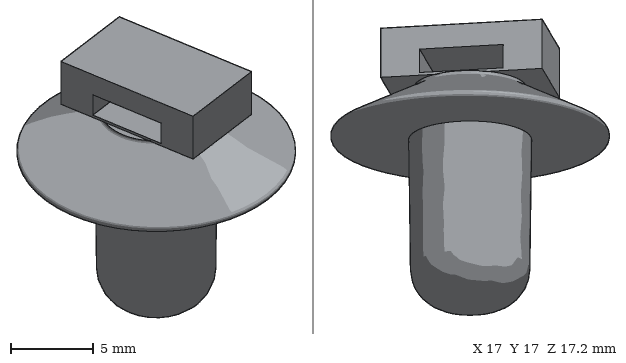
import cadquery as cq
import math

total_height = 17.22
flange_diameter = 17.0
rim_radius = 0.25
cone_angle = math.radians(28.3)

neck_diameter = 6.85
neck_top = 3.34
neck_fillet = 0.24

shaft_length = 10.73
shaft_top_radius = 3.75
shaft_end_radius = 3.65
end_rounding = 2.5

head_length = 10.0
head_width = 6.01
slot_length = 5.17
slot_height = 1.5
slot_floor = 0.17

neck_radius = neck_diameter / 2
rim_center = flange_diameter / 2 - rim_radius
head_height = total_height - shaft_length - neck_top


def arc_point(center_x, center_z, radius, angle):
    """Point on a circle in the radial section, angle measured from the radial axis."""
    return (center_x + radius * math.cos(angle), center_z + radius * math.sin(angle))


def make_flange():
    """Conical flange with a round rim and a short filleted neck."""
    normal_angle = math.pi / 2 - cone_angle
    cone_bottom = arc_point(rim_center, rim_radius, rim_radius, normal_angle)
    fillet_x = neck_radius + neck_fillet
    cone_top_x = fillet_x - neck_fillet * math.cos(normal_angle)
    cone_top_z = cone_bottom[1] + (cone_bottom[0] - cone_top_x) * math.tan(cone_angle)
    fillet_z = cone_top_z + neck_fillet * math.sin(normal_angle)
    fillet_middle_angle = math.pi + normal_angle / 2
    return (
        cq.Workplane("XZ")
        .lineTo(rim_center, 0)
        .threePointArc((rim_center + rim_radius, rim_radius), cone_bottom)
        .lineTo(cone_top_x, cone_top_z)
        .threePointArc(
            arc_point(fillet_x, fillet_z, neck_fillet, fillet_middle_angle),
            (neck_radius, fillet_z),
        )
        .lineTo(neck_radius, neck_top)
        .lineTo(0, neck_top)
        .close()
        .revolve(360, (0, 0), (0, 1))
    )


def make_shaft():
    """Slightly tapered shaft with a rounded lower end and a flat tip."""
    rounding_z = end_rounding - shaft_length
    tip_radius = shaft_end_radius - end_rounding
    return (
        cq.Workplane("XZ")
        .lineTo(shaft_top_radius, 0)
        .lineTo(shaft_end_radius, rounding_z)
        .threePointArc(
            arc_point(tip_radius, rounding_z, end_rounding, -math.pi / 4),
            (tip_radius, -shaft_length),
        )
        .lineTo(0, -shaft_length)
        .close()
        .revolve(360, (0, 0), (0, 1))
    )


def make_head():
    """Rectangular head with a slot running through it along Y."""
    block = cq.Workplane("XY").box(head_length, head_width, head_height, centered=(True, True, False))
    slot = (
        cq.Workplane("XY")
        .box(slot_length, head_width, slot_height, centered=(True, True, False))
        .translate((0, 0, slot_floor))
    )
    return block.cut(slot).translate((0, 0, neck_top))


result = make_flange().union(make_shaft()).union(make_head())